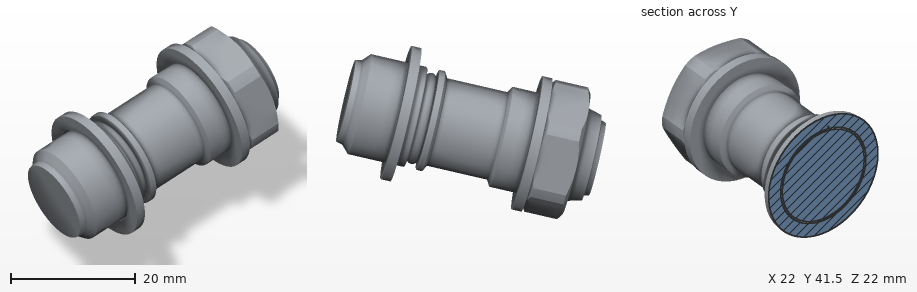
import cadquery as cq
import math

TOTAL_LENGTH = 41.5

BODY_RADIUS = 8.25
TIP_RADIUS = 6.72
TIP_BASE_RADIUS = 6.94
TIP_LENGTH = 1.0
LEAD_IN_END = 2.25

GROOVE_START = 11.55
GROOVE_WIDTH = 1.9
GROOVE_END = GROOVE_START + GROOVE_WIDTH
LIP_FILLET = 0.25
RING_SECTION_RADIUS = 0.9
RING_OUTER_RADIUS = 7.5
RING_CENTER_RADIUS = RING_OUTER_RADIUS - RING_SECTION_RADIUS
RING_CENTER_STATION = GROOVE_START + GROOVE_WIDTH / 2

WAIST_RADIUS = 7.22
WAIST_CONE_LENGTH = 0.6
WAIST_START = 15.05
WAIST_END = 25.0

WASHER_RADIUS = 11.0
WASHER_THICKNESS = 1.6
FRONT_WASHER_START = 8.3
CLEARANCE_RADIUS = 8.5
CLEARANCE_DEPTH = 1.2

NUT_START = 31.5
NUT_END = 38.0
NUT_ACROSS_FLATS = 20.0
NUT_CORNER_RADIUS = WASHER_RADIUS
NUT_CHAMFER_ANGLE = 30.0
HEX_SIDES = 6

COLLAR_FLARE_RADIUS = 8.0
COLLAR_FLARE_END = 38.7
COLLAR_BASE_RADIUS = 7.53
COLLAR_TOP_RADIUS = 7.05
COLLAR_END = 40.55
TUBE_BASE_RADIUS = 6.2
TUBE_END_RADIUS = 6.0
TUBE_ROOT_FILLET = 0.3


def turned(profile):
    """Revolve a (radius, station) profile about the Y axis."""
    return profile.revolve(360, (0, 0, 0), (0, 1, 0))


def annulus(inner_radius, outer_radius, start, length):
    corners = [
        (inner_radius, start),
        (outer_radius, start),
        (outer_radius, start + length),
        (inner_radius, start + length),
    ]
    return turned(cq.Workplane("XY").polyline(corners).close())


def make_body():
    """Solid core from the plug end to the nut, with the O-ring in its groove."""
    lip_offset = LIP_FILLET * (1 - math.sqrt(0.5))
    lip_radius = BODY_RADIUS - LIP_FILLET
    profile = (
        cq.Workplane("XY")
        .lineTo(TIP_RADIUS, 0)
        .lineTo(TIP_BASE_RADIUS, TIP_LENGTH)
        .lineTo(BODY_RADIUS, LEAD_IN_END)
        .lineTo(BODY_RADIUS, GROOVE_START - LIP_FILLET)
        .threePointArc((BODY_RADIUS - lip_offset, GROOVE_START - lip_offset), (lip_radius, GROOVE_START))
        .lineTo(RING_CENTER_RADIUS, GROOVE_START)
        .lineTo(RING_CENTER_RADIUS, RING_CENTER_STATION - RING_SECTION_RADIUS)
        .threePointArc(
            (RING_OUTER_RADIUS, RING_CENTER_STATION),
            (RING_CENTER_RADIUS, RING_CENTER_STATION + RING_SECTION_RADIUS),
        )
        .lineTo(RING_CENTER_RADIUS, GROOVE_END)
        .lineTo(lip_radius, GROOVE_END)
        .threePointArc(
            (BODY_RADIUS - lip_offset, GROOVE_END + lip_offset),
            (BODY_RADIUS, GROOVE_END + LIP_FILLET),
        )
        .lineTo(BODY_RADIUS, WAIST_START - WAIST_CONE_LENGTH)
        .lineTo(WAIST_RADIUS, WAIST_START)
        .lineTo(WAIST_RADIUS, WAIST_END)
        .lineTo(BODY_RADIUS, WAIST_END + WAIST_CONE_LENGTH)
        .lineTo(BODY_RADIUS, NUT_START)
        .lineTo(0, NUT_START)
        .close()
    )
    return turned(profile)


def make_front_washer():
    """Washer with a clearance ring open toward the plug end."""
    washer = annulus(0, WASHER_RADIUS, FRONT_WASHER_START, WASHER_THICKNESS)
    clearance = annulus(BODY_RADIUS, CLEARANCE_RADIUS, FRONT_WASHER_START, CLEARANCE_DEPTH)
    return washer.cut(clearance)


def make_nut_washer():
    """Washer lying against the nut and fitting closely on the body."""
    return annulus(BODY_RADIUS, WASHER_RADIUS, NUT_START - WASHER_THICKNESS, WASHER_THICKNESS)


def make_nut():
    """Hexagon with flats on +Z and -Z, its corners turned and chamfered at both ends."""
    flat_radius = NUT_ACROSS_FLATS / 2
    across_corners = NUT_ACROSS_FLATS / math.cos(math.pi / HEX_SIDES)
    chamfer_length = (NUT_CORNER_RADIUS - flat_radius) * math.tan(math.radians(NUT_CHAMFER_ANGLE))
    hexagon = (
        cq.Workplane("XZ", origin=(0, NUT_START, 0))
        .polygon(HEX_SIDES, across_corners)
        .extrude(-(NUT_END - NUT_START))
    )
    envelope = turned(
        cq.Workplane("XY")
        .moveTo(0, NUT_START)
        .lineTo(flat_radius, NUT_START)
        .lineTo(NUT_CORNER_RADIUS, NUT_START + chamfer_length)
        .lineTo(NUT_CORNER_RADIUS, NUT_END - chamfer_length)
        .lineTo(flat_radius, NUT_END)
        .lineTo(0, NUT_END)
        .close()
    )
    return hexagon.intersect(envelope)


def make_collar():
    """Tapered collar flaring into the nut."""
    return turned(
        cq.Workplane("XY")
        .moveTo(0, NUT_END)
        .lineTo(0, COLLAR_END)
        .lineTo(COLLAR_TOP_RADIUS, COLLAR_END)
        .lineTo(COLLAR_BASE_RADIUS, COLLAR_FLARE_END)
        .tangentArcPoint((COLLAR_FLARE_RADIUS, NUT_END), relative=False)
        .close()
    )


def make_tube_end():
    """Slightly tapered tube end with a rounded root on the collar face."""
    return turned(
        cq.Workplane("XY")
        .moveTo(0, COLLAR_END)
        .lineTo(TUBE_BASE_RADIUS + TUBE_ROOT_FILLET, COLLAR_END)
        .radiusArc((TUBE_BASE_RADIUS, COLLAR_END + TUBE_ROOT_FILLET), TUBE_ROOT_FILLET)
        .lineTo(TUBE_END_RADIUS, TOTAL_LENGTH)
        .lineTo(0, TOTAL_LENGTH)
        .close()
    )


result = (
    make_body()
    .union(make_front_washer())
    .union(make_nut_washer())
    .union(make_nut())
    .union(make_collar())
    .union(make_tube_end())
)